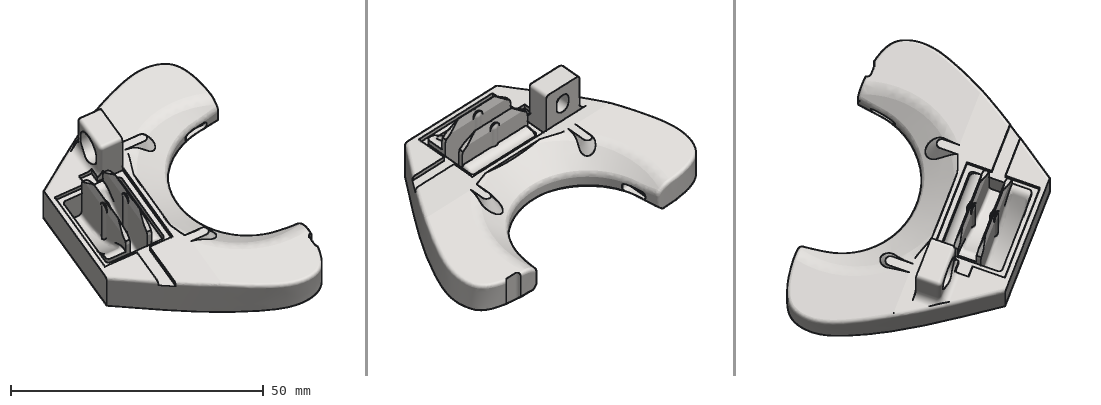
import cadquery as cq
import math

REACH = 124.65
TOLERANCE = 0.05

DECK_Z = 10.0
FRONT_HALF_WIDTH = 12.8
SIDE_POINTS = [(18.6, 8.3), (24.4, 17.3), (29.1, 26.35), (31.1, 35.15), (29.85, 38.7), (26.2, 41.0)]
HORN_TIP = (16.3, 42.0)
BOTTOM_CHAMFER = 1.2
OPENING_CHAMFER = 2.35
TOP_FILLET = 0.75
BLANK_Z = 13.7
SLOPE_START_Y = 19.15
SLOPE_DEGREES = 7.0

OPENING_RADIUS = 15.7
OPENING_Y = 39.15
OPENING_END_DEGREES = 8.0
LIP_Z = 5.3
SEAT_RUN_PER_RISE = 1.5
SEAT_FILLET = 4.5
LIP_FILLET = 1.4
SEAT_DECK_Y = 17.5

RIBS = [(-14.6, 24.5), (11.9, 23.5)]
RIB_WIDTH = 1.95
RIB_DEPTH = 3.75
RIB_DRAFT_DEGREES = 32.0

POCKET_HALF_WIDTH = 10.05
POCKET_Y = (1.1, 16.5)
POCKET_DEPTH = 1.0
PIT_FLOOR_Z = 2.2
LEFT_CHANNEL_X = -12.35
LEFT_CHANNEL_Y = (7.9, 10.8)
RIGHT_CHANNEL_Y = (8.4, 11.3)

ISLAND_HALF_WIDTH = 8.9
ISLAND_Y = (2.25, 15.4)
ISLAND_CORNER = 0.75
RAMP_RADIUS = 21.2
RAMP_LOW_Z = 2.35
RAMP_TOP_X = 7.5
RAMP_TIP_ROUND = 1.8
RAMP_FILLET = 0.8
ISLAND_REAR_Z = 9.65
ISLAND_REAR_ROUND = 2.6
BLADE_YS = (7.05, 11.9)
BLADE_THICKNESS = 1.0
BLADE_SHOULDER_Z = 14.0
BLADE_TOP_Z = 16.1
BLADE_HALF_PROFILE = [(ISLAND_HALF_WIDTH, 12.2), (8.65, 13.1), (4.9, BLADE_TOP_Z)]
RIDGE_HALF_WIDTH = 0.6
RIDGE_FLARE_HALF_WIDTH = 1.25
RIDGE_HEIGHT = 0.3

LUG_X = (-19.15, -10.05)
LUG_Y = (11.3, 16.5)
LUG_TOP_Z = 19.0
LUG_ROUND = 0.8
LUG_FOOT_RADIUS = 1.7
SLOT_X = -14.5
SLOT_Z = 14.4
SLOT_SIZE = (3.25, 4.35)
COUNTERBORE_SIZE = (6.3, 7.4)
COUNTERBORE_DEPTH = 2.5

RECESS_Y = 36.15
RECESS_Z = 3.3
RECESS_SIZE = (5.6, 1.9)
RECESS_DEPTH = 1.0

DIP_X = (20.9, 24.4)
DIP_Y = 41.0
DIP_CORNER = 0.75


def box(x_range, y_range, z_range):
    size = [hi - lo for lo, hi in (x_range, y_range, z_range)]
    corner = (x_range[0], y_range[0], z_range[0])
    return cq.Workplane("XY").box(*size, centered=False).translate(corner)


def edge_box(x_range, y_range, z_range):
    """Selector for the edges that lie fully within a box."""
    low, high = zip(x_range, y_range, z_range)
    low = [value - TOLERANCE for value in low]
    high = [value + TOLERANCE for value in high]
    return cq.selectors.BoxSelector(low, high, boundingbox=True)


def mirrored(points):
    return [(-x, y) for x, y in points]


def outline(height):
    end = math.radians(OPENING_END_DEGREES)
    opening_x = OPENING_RADIUS * math.cos(end)
    opening_y = OPENING_Y - OPENING_RADIUS * math.sin(end)
    left_side = mirrored(SIDE_POINTS + [HORN_TIP])[::-1]
    return (
        cq.Workplane("XY")
        .moveTo(-FRONT_HALF_WIDTH, 0)
        .lineTo(FRONT_HALF_WIDTH, 0)
        .spline(SIDE_POINTS + [HORN_TIP], includeCurrent=True)
        .lineTo(opening_x, opening_y)
        .threePointArc((0, OPENING_Y - OPENING_RADIUS), (-opening_x, opening_y))
        .lineTo(*left_side[0])
        .spline(left_side[1:] + [(-FRONT_HALF_WIDTH, 0)], includeCurrent=True)
        .close()
        .extrude(height)
    )


def slope_cutter():
    """Everything above the inclined plane of the horns, extended over the whole body."""
    return (
        box((-REACH, REACH), (-REACH, REACH), (0, REACH))
        .rotate((0, 0, 0), (1, 0, 0), -SLOPE_DEGREES)
        .translate((0, SLOPE_START_Y, DECK_Z))
    )


def seat_cutter():
    rise = BLANK_Z - LIP_Z
    return (
        cq.Workplane("XZ")
        .polyline([
            (0, LIP_Z),
            (OPENING_RADIUS, LIP_Z),
            (OPENING_RADIUS + SEAT_RUN_PER_RISE * rise, LIP_Z + rise),
            (0, LIP_Z + rise),
        ])
        .close()
        .revolve(360, (0, 0), (0, 1))
        .translate((0, OPENING_Y, 0))
    )


def is_rim(edge):
    """Outer top edge of the sides and the horn ends."""
    center = edge.Center()
    return center.z > LIP_Z and (center.y > HORN_TIP[1] - TOP_FILLET or abs(center.x) > SIDE_POINTS[0][0])


def is_outer_bottom(edge):
    """Front and side edges of the bottom face, leaving out the opening."""
    return edge.geomType() == "BSPLINE" or edge.Center().y < BOTTOM_CHAMFER


def opening_edge_box(z):
    """Picks the edges that run around the opening at height z."""
    return edge_box(
        (-HORN_TIP[0], HORN_TIP[0]), (OPENING_Y - OPENING_RADIUS, HORN_TIP[1]), (z, z)
    )


def body():
    lip_box = opening_edge_box(LIP_Z)
    bottom_box = opening_edge_box(0)
    blank = outline(BLANK_Z)
    blank = blank.edges(bottom_box).chamfer(OPENING_CHAMFER)
    blank = blank.faces("<Z").edges().filter(is_outer_bottom).chamfer(BOTTOM_CHAMFER)
    blank = blank.cut(slope_cutter()).cut(seat_cutter())
    blank = blank.edges("%ELLIPSE").fillet(SEAT_FILLET)
    blank = blank.cut(box((-REACH, REACH), (-REACH, REACH), (DECK_Z, REACH)))
    blank = blank.edges(lip_box).fillet(LIP_FILLET)
    return blank.edges("%BSPLINE").filter(is_rim).fillet(TOP_FILLET)


def deck_edge():
    """Straight rear edge of the deck between the ribs, standing over the seat."""
    left, right = [x for x, _ in RIBS]
    return box((left, right), (POCKET_Y[1], SEAT_DECK_Y), (DECK_Z / 2, DECK_Z))


def rib(x, end_y):
    start_y = POCKET_Y[1]
    length = end_y - start_y
    return (
        cq.Workplane("XY", origin=(x, end_y - length / 2, DECK_Z))
        .slot2D(length, RIB_WIDTH, 90)
        .extrude(-RIB_DEPTH, taper=-RIB_DRAFT_DEGREES)
    )


def pocket_cutter():
    floor = DECK_Z - POCKET_DEPTH
    pocket = box((-POCKET_HALF_WIDTH, POCKET_HALF_WIDTH), POCKET_Y, (floor, DECK_Z))
    left_channel = box((LEFT_CHANNEL_X, 0), LEFT_CHANNEL_Y, (floor, LUG_TOP_Z))
    right_channel = box((0, REACH), RIGHT_CHANNEL_Y, (floor, DECK_Z))
    return pocket.union(left_channel).union(right_channel).union(island_footprint())


def island_footprint():
    return (
        box((-ISLAND_HALF_WIDTH, ISLAND_HALF_WIDTH), ISLAND_Y, (PIT_FLOOR_Z, LUG_TOP_Z))
        .edges("|Z").fillet(ISLAND_CORNER)
    )


def ramp(y_range, side):
    """Block hollowed by a channel whose floor climbs in an arc to a rounded tip at x = side * RAMP_TOP_X."""
    angle = math.asin((RAMP_TOP_X + ISLAND_HALF_WIDTH) / RAMP_RADIUS)
    low_x = -ISLAND_HALF_WIDTH
    top_z = RAMP_LOW_Z + RAMP_RADIUS * (1 - math.cos(angle))
    block = box((low_x, ISLAND_HALF_WIDTH), y_range, (PIT_FLOOR_Z, top_z))
    center_z = RAMP_LOW_Z + RAMP_RADIUS
    channel = (
        box((low_x - RAMP_RADIUS, low_x + RAMP_RADIUS), y_range, (center_z - RAMP_RADIUS, center_z))
        .intersect(
            cq.Workplane("XZ", origin=(low_x, 0, center_z)).circle(RAMP_RADIUS).extrude(REACH, both=True)
        )
        .edges("%CIRCLE").fillet(RAMP_FILLET)
    )
    solid = block.cut(channel)
    solid = solid.faces(">Z").edges("<X").fillet(RAMP_TIP_ROUND)
    return solid if side > 0 else solid.mirror("YZ")


def blade(y):
    half = BLADE_THICKNESS / 2
    base_z = PIT_FLOOR_Z
    points = [(ISLAND_HALF_WIDTH, base_z)] + BLADE_HALF_PROFILE
    points = points + mirrored(points)[::-1]
    plate = cq.Workplane("XZ", origin=(0, y + half, 0)).polyline(points).close().extrude(BLADE_THICKNESS)
    edge_shape = (
        cq.Workplane("YZ")
        .polyline([
            (y - half, base_z),
            (y - half, BLADE_SHOULDER_Z),
            (y, BLADE_TOP_Z),
            (y + half, BLADE_SHOULDER_Z),
            (y + half, base_z),
        ])
        .close()
        .extrude(ISLAND_HALF_WIDTH, both=True)
    )
    return plate.intersect(edge_shape)


def ridge(y, side):
    """Upright bead with flared flanks and a round top on one face of a blade."""
    face = BLADE_THICKNESS / 2
    crown = face + RIDGE_HEIGHT
    shoulder = (RIDGE_HALF_WIDTH, face + RIDGE_HEIGHT / 2)
    flare_mid = ((RIDGE_HALF_WIDTH + RIDGE_FLARE_HALF_WIDTH) / 2, face + RIDGE_HEIGHT / 16)
    flare_end = (RIDGE_FLARE_HALF_WIDTH, face)
    left_shoulder, left_mid, left_end = mirrored([shoulder, flare_mid, flare_end])
    section = (
        cq.Workplane("XY")
        .moveTo(*left_end)
        .threePointArc(left_mid, left_shoulder)
        .threePointArc((0, crown), shoulder)
        .threePointArc(flare_mid, flare_end)
        .lineTo(RIDGE_FLARE_HALF_WIDTH, 0)
        .lineTo(-RIDGE_FLARE_HALF_WIDTH, 0)
        .close()
    )
    shaft = section.extrude(PIT_FLOOR_Z - BLADE_SHOULDER_Z)
    half_space = box((0, flare_end[0]), (0, crown), (PIT_FLOOR_Z - BLADE_SHOULDER_Z, 0))
    half_section = shaft.intersect(half_space).faces(">Z").wires()
    round_top = cq.Workplane("XY").add(half_section.vals()).toPending().revolve(360, (0, 0), (0, 1))
    bead = shaft.union(round_top)
    if side < 0:
        bead = bead.mirror("XZ")
    return bead.translate((0, y, BLADE_SHOULDER_Z))


def island():
    front_blade, rear_blade = BLADE_YS
    rear_roll = (
        box((-ISLAND_HALF_WIDTH, ISLAND_HALF_WIDTH), (rear_blade, ISLAND_Y[1]), (PIT_FLOOR_Z, ISLAND_REAR_Z))
        .edges(">Y and >Z").fillet(ISLAND_REAR_ROUND)
        .edges("|Y and >Z").fillet(ISLAND_CORNER)
    )
    half = BLADE_THICKNESS / 2
    front_ramp = ramp((ISLAND_Y[0], front_blade - half), 1)
    middle_ramp = ramp((front_blade + half, rear_blade - half), -1)
    solid = front_ramp.union(middle_ramp).union(rear_roll)
    for y in BLADE_YS:
        solid = solid.union(blade(y)).union(ridge(y, 1)).union(ridge(y, -1))
    return solid.intersect(island_footprint())


def lug(deck_face):
    margin = 2 * LUG_FOOT_RADIUS
    slab = box((LUG_X[0] - margin, LUG_X[1] + margin), (LUG_Y[0] - margin, LUG_Y[1]), (0, DECK_Z))
    block = box(LUG_X, LUG_Y, (0, LUG_TOP_Z))
    block = block.edges("|Z and <Y").fillet(LUG_ROUND)
    block = block.faces(">Z").edges("not(>Y)").fillet(LUG_ROUND)
    foot_box = edge_box(LUG_X, LUG_Y, (DECK_Z, DECK_Z))
    solid = slab.union(block)
    solid = solid.edges(foot_box).edges("not(>Y)").fillet(LUG_FOOT_RADIUS)
    slot = upright_slot(SLOT_SIZE, LUG_Y[1] - LUG_Y[0])
    counterbore = upright_slot(COUNTERBORE_SIZE, COUNTERBORE_DEPTH)
    over_deck = deck_face.wires().toPending().extrude(LUG_TOP_Z - DECK_Z)
    left_of_pocket = box((-REACH, LUG_X[1]), (0, LUG_Y[1]), (DECK_Z, LUG_TOP_Z))
    return solid.intersect(over_deck).intersect(left_of_pocket).cut(slot).cut(counterbore)


def upright_slot(size, depth):
    width, height = size
    return (
        cq.Workplane("XZ", origin=(SLOT_X, LUG_Y[0] - LUG_FOOT_RADIUS, SLOT_Z))
        .slot2D(height, width, 90)
        .extrude(-depth - LUG_FOOT_RADIUS)
    )


def horn_dip():
    return box(DIP_X, (DIP_Y, REACH), (0, DECK_Z)).edges("|Z and <Y").fillet(DIP_CORNER)


def finger_recess(side):
    """Shallow slot in the opening wall near a horn end."""
    length, height = RECESS_SIZE
    wall_x = side * OPENING_RADIUS
    return (
        cq.Workplane("YZ", origin=(wall_x, RECESS_Y, RECESS_Z))
        .slot2D(length, height)
        .extrude(RECESS_DEPTH, both=True)
    )


crescent = body()
result = crescent.union(deck_edge())
for rib_x, rib_end_y in RIBS:
    result = result.union(rib(rib_x, rib_end_y))
result = result.union(lug(crescent.faces(">Z"))).cut(pocket_cutter()).union(island()).cut(horn_dip())
for horn_side in (-1, 1):
    result = result.cut(finger_recess(horn_side))